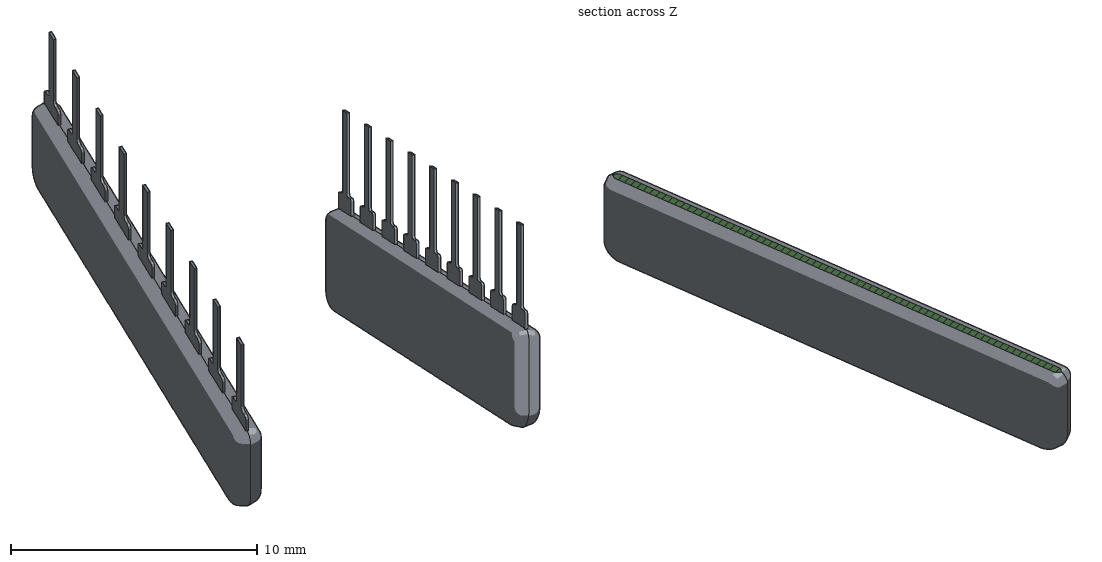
import cadquery as cq

body_length = 22.5
body_thickness = 1.25
body_height = 4.3
body_top = body_height / 2
body_bottom = -body_height / 2
top_corner_radius = 0.5
bottom_corner_radius = 1.0
draft_angle = 15.0
face_edge_radius = 0.4

lead_count = 9
lead_pitch = 2.54
lead_row_center = -0.04
lead_thickness = 0.12
shank_width = 0.5
shoulder_width = 1.5
shoulder_height = 0.7
shoulder_radius = 0.15
shank_root_radius = 0.15
lead_embed = 0.5

overall_height = 8.5
lead_top = body_bottom + overall_height


def body_half():
    """Half of the body, tapering from the parting plane at Y = 0 to the -Y face."""
    half_thickness = body_thickness / 2
    block = cq.Workplane("XZ").rect(body_length, body_height).extrude(half_thickness)
    block = block.edges("|Y and >Z").fillet(top_corner_radius)
    block = block.edges("|Y and <Z").fillet(bottom_corner_radius)
    parting_outline = block.faces(">Y").wires().val()
    half = (
        cq.Workplane("XZ")
        .add(parting_outline)
        .toPending()
        .extrude(half_thickness, taper=draft_angle)
    )
    return half.faces("<Y").edges().fillet(face_edge_radius)


def round_edge_pair(blank, x, offset, z, radius):
    """Round the two through-thickness edges at the given height, either side of x."""
    for side in (-1, 1):
        nearest = cq.selectors.NearestToPointSelector((x + side * offset, 0, z))
        blank = blank.edges("|Y").edges(nearest).fillet(radius)
    return blank


def lead(x):
    """One lead at the given X: a wide rounded shoulder carrying a narrow shank."""
    shoulder_bottom = body_top - lead_embed
    shoulder_top = body_top + shoulder_height
    half_shoulder = shoulder_width / 2
    half_shank = shank_width / 2
    blank = (
        cq.Workplane("XZ")
        .moveTo(x - half_shoulder, shoulder_bottom)
        .lineTo(x + half_shoulder, shoulder_bottom)
        .lineTo(x + half_shoulder, shoulder_top)
        .lineTo(x + half_shank, shoulder_top)
        .lineTo(x + half_shank, lead_top)
        .lineTo(x - half_shank, lead_top)
        .lineTo(x - half_shank, shoulder_top)
        .lineTo(x - half_shoulder, shoulder_top)
        .close()
        .extrude(lead_thickness / 2, both=True)
    )
    blank = round_edge_pair(blank, x, half_shoulder, shoulder_top, shoulder_radius)
    return round_edge_pair(blank, x, half_shank, shoulder_top, shank_root_radius)


front_half = body_half()
result = front_half.union(front_half.mirror("XZ"))
first_lead_x = lead_row_center - (lead_count - 1) * lead_pitch / 2
for index in range(lead_count):
    result = result.union(lead(first_lead_x + index * lead_pitch))